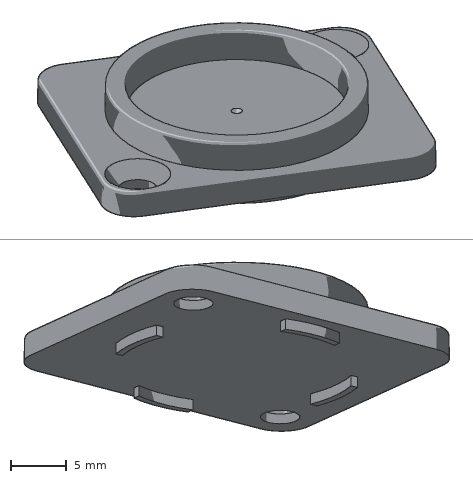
import cadquery as cq
import math

plate_width = 26.0
plate_length = 31.0
plate_thickness = 2.42
corner_radius = 3.0
plate_edge_fillet = 0.3
draft_angle = 1.0

ring_radius = 11.78
ring_height = 2.7
bore_radius = 10.2
bore_depth = 2.85
ring_edge_fillet = 0.25

hole_diameter = 3.5
countersink_diameter = 5.9
countersink_depth = 1.5
hole_x = 9.5
hole_y = 12.0

dimple_diameter = 1.0
dimple_depth = 0.3

foot_height = 1.0
foot_width = 6.0
foot_outer_radius = 11.65
foot_inner_radius = 10.95
foot_count = 4

ring_top = plate_thickness + ring_height
floor_height = ring_top - bore_depth


def make_plate():
    """Rounded rectangle whose drafted sides narrow upward, with a rounded top edge."""
    outline = cq.Sketch().rect(plate_width, plate_length).vertices().fillet(corner_radius)
    plate = cq.Workplane("XY").placeSketch(outline).extrude(plate_thickness, taper=draft_angle)
    return plate.faces(">Z").edges().fillet(plate_edge_fillet)


def make_ring():
    """Drafted solid boss with a rounded outer rim, before boring."""
    boss = (
        cq.Workplane("XY")
        .workplane(offset=plate_thickness)
        .circle(ring_radius)
        .extrude(ring_height, taper=draft_angle)
    )
    return boss.faces(">Z").edges().fillet(ring_edge_fillet)


def make_bore():
    """Drafted bore cutter, widest at the ring top, flared by the rounded inner rim."""
    lean = math.tan(math.radians(draft_angle))
    rim_height = ring_top - ring_edge_fillet
    rim_radius = bore_radius - ring_edge_fillet
    floor_radius = rim_radius - (rim_height - floor_height) * lean
    arc_middle = ring_edge_fillet * (1 - math.sqrt(0.5))
    return (
        cq.Workplane("XZ")
        .moveTo(0, floor_height)
        .lineTo(floor_radius, floor_height)
        .lineTo(rim_radius, rim_height)
        .threePointArc((rim_radius + arc_middle, ring_top - arc_middle), (bore_radius, ring_top))
        .lineTo(0, ring_top)
        .close()
        .revolve(360, (0, 0, 0), (0, 1, 0))
    )


def make_dimple():
    """Conical centre mark in the bore floor."""
    tip = cq.Vector(0, 0, floor_height - dimple_depth)
    return cq.Workplane(cq.Solid.makeCone(0, dimple_diameter / 2, dimple_depth, tip))


def make_feet():
    """Curved tabs under the plate, evenly spaced on one circle, with parallel ends."""
    band = (
        cq.Workplane("XY")
        .circle(foot_outer_radius)
        .extrude(-foot_height, taper=draft_angle)
        .cut(cq.Workplane("XY").circle(foot_inner_radius).extrude(-foot_height))
    )
    strip = (
        cq.Workplane("XY")
        .workplane(offset=-foot_height)
        .box(foot_outer_radius, foot_width, foot_height, centered=(False, True, False))
    )
    foot = band.intersect(strip)
    feet = cq.Workplane("XY")
    for index in range(foot_count):
        feet = feet.union(foot.rotate((0, 0, 0), (0, 0, 1), index * 360 / foot_count))
    return feet


def make_screw_hole():
    """Through hole with a conical countersink, on the Z axis."""
    drill = cq.Workplane("XY").circle(hole_diameter / 2).extrude(plate_thickness)
    sink_base = cq.Vector(0, 0, plate_thickness - countersink_depth)
    sink = cq.Solid.makeCone(hole_diameter / 2, countersink_diameter / 2, countersink_depth, sink_base)
    return drill.union(cq.Workplane(sink))


result = make_plate().union(make_ring()).union(make_feet())
result = result.cut(make_bore()).cut(make_dimple())
for x, y in [(-hole_x, hole_y), (hole_x, -hole_y)]:
    result = result.cut(make_screw_hole().translate((x, y, 0)))